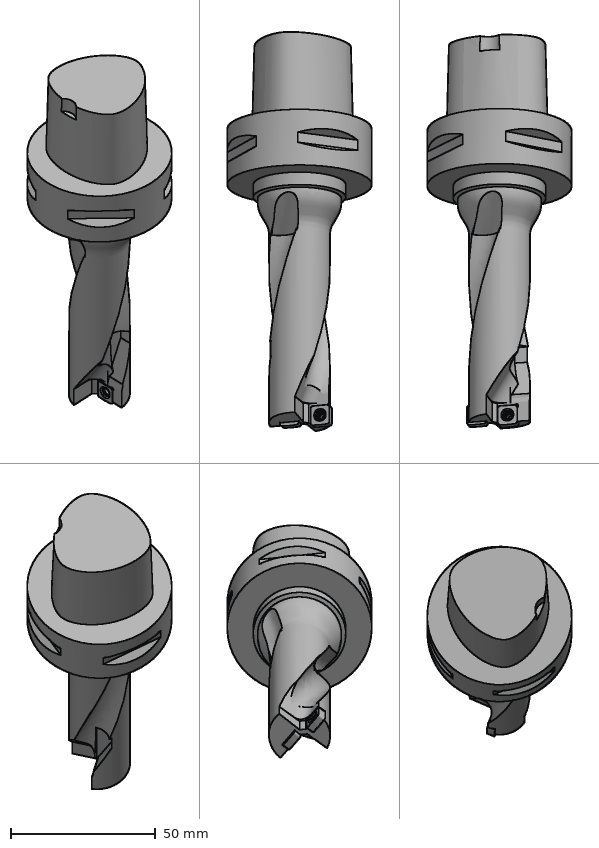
import cadquery as cq
import math


shank_length = 30.0
shank_mean_radius = 17.5
shank_lobe_height = 1.28
shank_taper = 1 / 40
lobe_half_span = 37.5
spline_points_per_face = 9
notch_radius = 4.5
notch_center_y = -18.2
notch_depth = 5.5

flange_radius = 25.0
flange_height = 20.0
slot_floor_radius = 22.2
slot_center_z = -10.0
slot_floor_half_height = 1.8
slot_mouth_half_height = 3.55
slot_angles = [45, 135, 225, 315]

collar_radius = 16.0
collar_end_z = -24.5
neck_radius = 14.5
neck_start_z = -25.0
neck_end_z = -26.3
shaft_radius = 10.6
shaft_start_z = -37.9
shaft_end_z = -106.0
tip_relief_rise = 1.3

flute_radius = 6.0
flute_center_radius = 11.15
flute_twist = 1.81
flute_bottom_z = -96.0
flute_top_z = -39.0
flute_top_angle = 250.5
flute_exit_height = 18.0
flute_exit_outward = 0.62
flute_exit_sideways = 0.65
flute_exit_half_width = 5.6
flute_exit_floor_sag = 3.2
flute_turns = [0, 180]

gullet_roof_x = 8.5
gullet_roof_z = -82.1
gullet_wall_top_z = -99.0
gullet_reach = 15.0
gullet_bottom_z = -110.0
gullet_corner_radius = 4.0
gullet_bevel_width = 1.5
central_wall_x = -2.3
peripheral_wall_x = 1.9

ramp_side_x = 3.9
ramp_step_depth = 0.5
ramp_step_z = -97.3
ramp_start_z = -96.0
ramp_depth = 6.5
ramp_end_z = -82.6
ramp_top_z = -77.0

insert_half_width = 3.45
insert_tip_drop = 0.1
insert_corner_radius = 0.9
insert_thickness = 2.8
insert_proud = 0.2
tip_z = -106.99
insert_center_z = tip_z + insert_half_width + insert_tip_drop
central_insert_x = 2.85
cutting_radius = 11.0
peripheral_insert_x = cutting_radius - insert_half_width
insert_hole_diameter = 2.8
insert_counterbore_diameter = 3.45
insert_counterbore_depth = 1.2
insert_countersink_diameter = 4.4
insert_countersink_depth = 0.6
screw_hole_diameter = 2.04
screw_hole_depth = 2.5
corner_relief_radius = 0.6


def shank_point(mean_radius, normal_angle):
    """Point of the constant-width outline whose outward normal has the given angle."""
    t = math.radians(normal_angle)
    lobe_phase = 3 * (t - math.pi / 2)
    support = mean_radius + shank_lobe_height * math.cos(lobe_phase)
    slope = -3 * shank_lobe_height * math.sin(lobe_phase)
    return (
        support * math.cos(t) - slope * math.sin(t),
        support * math.sin(t) + slope * math.cos(t),
    )


def shank_outline(z):
    mean_radius = shank_mean_radius - shank_taper * z
    edges = []
    for lobe_angle in (90, 210, 330):
        breaks = [lobe_angle - lobe_half_span, lobe_angle + lobe_half_span, lobe_angle + 120 - lobe_half_span]
        for start, end in zip(breaks, breaks[1:]):
            step = (end - start) / (spline_points_per_face - 1)
            points = [shank_point(mean_radius, start + i * step) for i in range(spline_points_per_face)]
            edges.append(cq.Edge.makeSpline([cq.Vector(x, y, z) for x, y in points]))
    return cq.Wire.assembleEdges(edges)


def make_shank():
    shank = cq.Solid.makeLoft([shank_outline(0), shank_outline(shank_length)], True)
    notch = (
        cq.Workplane("XY", origin=(0, notch_center_y, shank_length - notch_depth))
        .circle(notch_radius)
        .extrude(notch_depth)
    )
    return cq.Workplane(shank).cut(notch)


def make_turned_body():
    """Flange, collar, neck and shaft, with an S-shaped blend from the neck to the shaft."""
    return (
        cq.Workplane("XZ")
        .lineTo(flange_radius, 0)
        .lineTo(flange_radius, -flange_height)
        .lineTo(collar_radius, -flange_height)
        .lineTo(collar_radius, collar_end_z)
        .lineTo(neck_radius, neck_start_z)
        .lineTo(neck_radius, neck_end_z)
        .spline([(shaft_radius, shaft_start_z)], tangents=[(0, -1), (0, -1)], includeCurrent=True)
        .lineTo(shaft_radius, shaft_end_z)
        .lineTo(0, shaft_end_z)
        .close()
        .revolve(360, (0, 0), (0, 1))
    )


def make_gripper_slot(angle):
    depth = flange_radius - slot_floor_radius
    mouth = slot_mouth_half_height
    floor = slot_floor_half_height
    return (
        cq.Workplane("XZ", origin=(slot_floor_radius, 0, slot_center_z))
        .polyline([(0, -floor), (depth, -mouth), (depth, mouth), (0, floor)])
        .close()
        .extrude(flange_radius, both=True)
        .rotate((0, 0, 0), (0, 0, 1), angle)
    )


def make_flute(turn):
    """Round-bottomed helical flute with a straight run-out above."""
    helix_height = flute_top_z - flute_bottom_z
    twist = flute_twist * helix_height
    bottom_angle = math.radians(flute_top_angle - twist)
    bottom_center = (
        flute_center_radius * math.cos(bottom_angle),
        flute_center_radius * math.sin(bottom_angle),
    )
    helix = (
        cq.Workplane("XY", origin=(0, 0, flute_bottom_z))
        .moveTo(*bottom_center)
        .circle(flute_radius)
        .twistExtrude(helix_height, twist)
    )

    floor_radius = flute_center_radius - flute_radius
    mouth = (
        cq.Workplane("XY", origin=(floor_radius, 0, flute_top_z))
        .moveTo(flute_exit_height, -flute_exit_half_width)
        .lineTo(flute_exit_floor_sag, -flute_exit_half_width)
        .threePointArc((0, 0), (flute_exit_floor_sag, flute_exit_half_width))
        .lineTo(flute_exit_height, flute_exit_half_width)
        .close()
    )
    rise = cq.Vector(flute_exit_outward, flute_exit_sideways, 1) * flute_exit_height
    run_out = cq.Solid.extrudeLinear(mouth.val(), [], rise)
    run_out = cq.Workplane(run_out).rotate((0, 0, 0), (0, 0, 1), flute_top_angle)

    return [part.rotate((0, 0, 0), (0, 0, 1), turn) for part in (helix, run_out)]


def make_gullet(wall_x):
    """Space in front of an insert that faces -Y, with a sloped roof rounded into its floor."""
    mouth_height = gullet_wall_top_z - gullet_bottom_z
    roof_middle = ((wall_x + gullet_roof_x) / 2, 0, (gullet_wall_top_z + gullet_roof_z) / 2)
    approach = (
        cq.Workplane("XZ")
        .moveTo(wall_x, gullet_bottom_z)
        .lineTo(wall_x, gullet_wall_top_z)
        .lineTo(gullet_roof_x, gullet_roof_z)
        .lineTo(gullet_reach, gullet_roof_z)
        .lineTo(gullet_reach, gullet_bottom_z)
        .close()
        .extrude(gullet_reach)
        .edges(cq.selectors.NearestToPointSelector(roof_middle))
        .fillet(gullet_corner_radius)
    )
    mouth = (
        cq.Workplane("XY", origin=(0, 0, gullet_bottom_z))
        .moveTo(wall_x, -gullet_reach)
        .lineTo(wall_x, -gullet_bevel_width)
        .lineTo(wall_x + gullet_bevel_width, 0)
        .lineTo(gullet_reach, 0)
        .lineTo(gullet_reach, -gullet_reach)
        .close()
        .extrude(mouth_height)
    )
    above_mouth = (
        cq.Workplane("XY", origin=(0, 0, gullet_wall_top_z))
        .rect(2 * gullet_reach, 2 * gullet_reach)
        .extrude(gullet_roof_z - gullet_wall_top_z)
    )
    return approach.intersect(above_mouth).union(mouth)


def make_chip_ramp():
    return (
        cq.Workplane("YZ", origin=(ramp_side_x, 0, 0))
        .moveTo(0, gullet_wall_top_z)
        .lineTo(ramp_step_depth, ramp_step_z)
        .lineTo(ramp_step_depth, ramp_start_z)
        .lineTo(ramp_depth, ramp_end_z)
        .lineTo(ramp_depth, ramp_top_z)
        .lineTo(0, ramp_top_z)
        .close()
        .extrude(gullet_reach)
    )


def make_tip_relief():
    return (
        cq.Workplane("YZ")
        .moveTo(0, shaft_end_z)
        .lineTo(shaft_radius, shaft_end_z + tip_relief_rise)
        .lineTo(shaft_radius, shaft_end_z)
        .close()
        .extrude(shaft_radius, both=True)
    )


def make_insert_blank(center_x):
    """Square plate with rounded corners and a pointed lower edge; its rake face looks towards -Y."""
    edge = insert_half_width
    tip_half_width = edge - insert_corner_radius
    plate = (
        cq.Workplane("XZ", origin=(center_x, -insert_proud, insert_center_z))
        .rect(2 * edge, 2 * edge)
        .extrude(-insert_thickness)
        .edges("|Y")
        .fillet(insert_corner_radius)
    )
    point = (
        cq.Workplane("XZ", origin=(center_x, -insert_proud, insert_center_z))
        .polyline([(-tip_half_width, -edge), (0, -edge - insert_tip_drop), (tip_half_width, -edge), (0, 0)])
        .close()
        .extrude(-insert_thickness)
    )
    return plate.union(point)


def make_insert(center_x):
    face_plane = cq.Plane((center_x, -insert_proud, insert_center_z), xDir=(1, 0, 0), normal=(0, -1, 0))
    hole = cq.Workplane(face_plane).circle(insert_hole_diameter / 2).extrude(-insert_thickness)
    counterbore = (
        cq.Workplane(face_plane)
        .circle(insert_counterbore_diameter / 2)
        .extrude(-insert_counterbore_depth)
    )
    countersink = (
        cq.Workplane(face_plane)
        .circle(insert_countersink_diameter / 2)
        .workplane(offset=-insert_countersink_depth)
        .circle(insert_counterbore_diameter / 2)
        .loft()
    )
    return make_insert_blank(center_x).cut(hole).cut(counterbore).cut(countersink)


def make_insert_pocket(center_x):
    """Seat of an insert, with its screw hole and a relief behind its upper outer corner."""
    screw_hole = (
        cq.Workplane("XZ", origin=(center_x, insert_thickness - insert_proud, insert_center_z))
        .circle(screw_hole_diameter / 2)
        .extrude(-screw_hole_depth)
    )
    relief_offset = insert_half_width - corner_relief_radius / 2
    corner_relief = (
        cq.Workplane("XZ", origin=(center_x, -insert_proud, insert_center_z))
        .center(relief_offset, relief_offset)
        .circle(corner_relief_radius)
        .extrude(-insert_thickness)
    )
    return [make_insert_blank(center_x), screw_hole, corner_relief]


def half_turn(part):
    return part.rotate((0, 0, 0), (0, 0, 1), 180)


def make_holder():
    holder = make_turned_body().union(make_shank())
    for angle in slot_angles:
        holder = holder.cut(make_gripper_slot(angle))
    for turn in flute_turns:
        for flute_part in make_flute(turn):
            holder = holder.cut(flute_part)
    holder = holder.cut(make_gullet(central_wall_x))
    holder = holder.cut(half_turn(make_gullet(peripheral_wall_x)))
    holder = holder.cut(make_chip_ramp())
    holder = holder.cut(make_tip_relief())
    for cutter in make_insert_pocket(central_insert_x):
        holder = holder.cut(cutter)
    for cutter in make_insert_pocket(peripheral_insert_x):
        holder = holder.cut(half_turn(cutter))
    return holder


holder = make_holder()
central_insert = make_insert(central_insert_x)
peripheral_insert = half_turn(make_insert(peripheral_insert_x))

result = cq.Compound.makeCompound([holder.val(), central_insert.val(), peripheral_insert.val()])